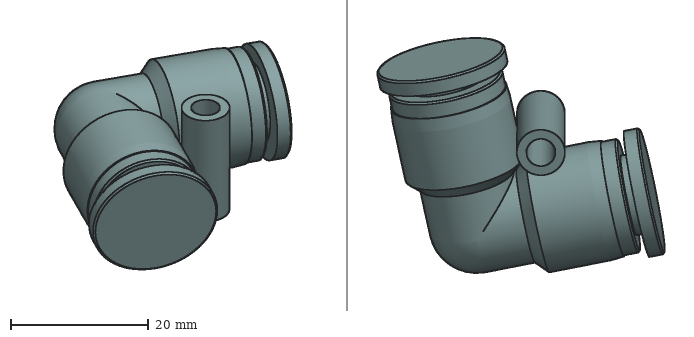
import cadquery as cq


elbow_radius = 14.0 / 2
socket_radius = 17.6 / 2
cap_radius = 16.9 / 2
shoulder_start = 7.3
shoulder_length = socket_radius - elbow_radius
taper_start = 18.3
taper_end = 20.22
taper_end_radius = 8.6
cap_end = 22.65
cap_chamfer = 0.3

eyelet_radius = 7.0 / 2
eyelet_hole_radius = 4.2 / 2
eyelet_offset = 12.05
eyelet_height = 2 * socket_radius

overall_length = 35.6
flange_half_width = 9.5
flange_half_height = 8.3
collar_end = overall_length - flange_half_width
flange_thickness = 2.28
flange_start = collar_end - flange_thickness
flange_chamfer = 0.3
stem_radius = 11.9 / 2

BRANCH_ANGLES = (0, 90)


def turn_to_branch(body, angle):
    """Turn a body built along +X about the Z axis onto its branch."""
    return body.rotate((0, 0, 0), (0, 0, 1), angle)


def make_branch():
    """One solid branch of the housing, revolved about the X axis."""
    return (
        cq.Workplane("XY")
        .polyline([
            (0, 0),
            (0, elbow_radius),
            (shoulder_start, elbow_radius),
            (shoulder_start + shoulder_length, socket_radius),
            (taper_start, socket_radius),
            (taper_end, taper_end_radius),
            (taper_end, cap_radius),
            (cap_end - cap_chamfer, cap_radius),
            (cap_end, cap_radius - cap_chamfer),
            (cap_end, 0),
        ])
        .close()
        .revolve(360, (0, 0, 0), (1, 0, 0))
    )


def make_eyelet_cylinder(radius):
    """A vertical cylinder on the eyelet axis, centred in height."""
    return (
        cq.Workplane("XY")
        .center(eyelet_offset, eyelet_offset)
        .circle(radius)
        .extrude(eyelet_height / 2, both=True)
    )


def make_housing():
    """Two mitred branches with a spherical corner and a drilled eyelet."""
    body = cq.Workplane("XY").sphere(elbow_radius)
    for angle in BRANCH_ANGLES:
        body = body.union(turn_to_branch(make_branch(), angle))
    body = body.union(make_eyelet_cylinder(eyelet_radius))
    return body.cut(make_eyelet_cylinder(eyelet_hole_radius))


def make_collar():
    """A release collar along +X, its stem seated against the cap face."""
    stem = (
        cq.Workplane("YZ", origin=(cap_end, 0, 0))
        .circle(stem_radius)
        .extrude(flange_start - cap_end)
    )
    flange = (
        cq.Workplane("YZ", origin=(flange_start, 0, 0))
        .ellipse(flange_half_width, flange_half_height)
        .extrude(flange_thickness)
        .faces(">X")
        .chamfer(flange_chamfer)
    )
    return stem.union(flange)


housing = make_housing()
collars = [turn_to_branch(make_collar(), angle) for angle in BRANCH_ANGLES]

bodies = [housing, *collars]
result = cq.Compound.makeCompound([body.solids().val() for body in bodies])